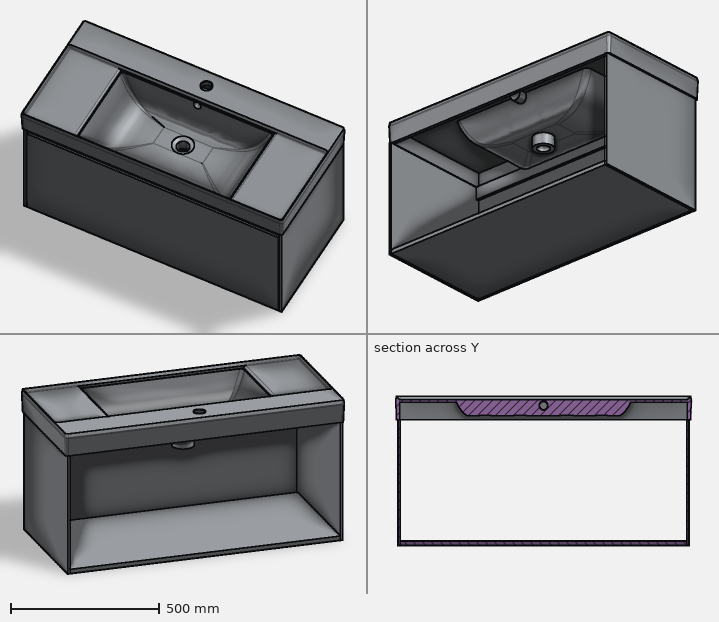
import cadquery as cq
import math

WIDTH = 1000.0
DEPTH = 460.0
HEIGHT = 505.0

BASIN_HEIGHT = 80.0
LIP_HEIGHT = 12.0
LIP_INSET = 3.0
BAND_HEIGHT = 3.0
SKIRT_INSET = 3.0
CORNER_RADIUS = 11.0
SKIRT_WALL = 15.0
DECK_THICKNESS = 10.0
BASIN_BOTTOM = HEIGHT - BASIN_HEIGHT
BAND_TOP = HEIGHT - LIP_HEIGHT
BAND_BOTTOM = BAND_TOP - BAND_HEIGHT
SKIRT_HEIGHT = BAND_BOTTOM - BASIN_BOTTOM

TRAY_DEPTH = 11.0
TRAY_RIM = 11.0
TRAY_BACK = 107.0
TRAY_TAPER_ANGLE = 30.0
TRAY_CORNER_RADIUS = 6.0
TRAY_FILLET = 3.0
TRAY_FLOOR = HEIGHT - TRAY_DEPTH
TRAY_FRONT = TRAY_RIM - DEPTH / 2
TRAY_WIDTH = WIDTH - 2 * TRAY_RIM

BOWL_DEPTH = 122.0
BOWL_WALL = 8.0
BOWL_FLOOR_HALF_WIDTH = 94.0
BOWL_FLOOR_HALF_DEPTH = 39.0
BOWL_RIM_HALF_WIDTH = 292.0
BOWL_RIM_BACK = 106.0
BOWL_RIM_FRONT = -218.0
BOWL_FLOOR_RADIUS = 2.0
BOWL_RIM_RADIUS = 13.0
BOWL_CURVE_POWER = 4
BOWL_SECTIONS = 8
BOWL_EDGE_ROUND = 9.0
BOWL_FLOOR = TRAY_FLOOR - BOWL_DEPTH

TAP_DIAMETER = 38.0
TAP_CHAMFER = 2.0
TAP_RIM_DIAMETER = TAP_DIAMETER + 2 * TAP_CHAMFER
TAP_Y = 170.0
DRAIN_DIAMETER = 46.0
DRAIN_RIM_DIAMETER = 77.0
DRAIN_SINK = 8.0
DRAIN_WALL = 15.0
DRAIN_LENGTH = 50.0
OVERFLOW_DIAMETER = 28.0
OVERFLOW_Z = 473.0
OVERFLOW_WALL = 8.0
OVERFLOW_START = 10.0
OVERFLOW_LENGTH = 40.0

CABINET_WIDTH = 984.0
CABINET_DEPTH = 450.0
SIDE_THICKNESS = 9.0
FRONT_THICKNESS = 9.0
FRONT_TOP = 397.0
FRONT_GAP = 3.0
RAIL_THICKNESS = 10.0
RAIL_OVERLAP = 20.0
BOTTOM_THICKNESS = 16.0
CABINET_BACK = DEPTH / 2
CABINET_FRONT = CABINET_BACK - CABINET_DEPTH
INNER_WIDTH = CABINET_WIDTH - 2 * SIDE_THICKNESS
PANEL_BACK = CABINET_FRONT + FRONT_THICKNESS


def box(x_size, y_min, y_max, z_min, z_max, x_center=0):
    """Box centred on x_center between the given Y and Z limits."""
    centered = (True, False, False)
    solid = cq.Workplane("XY").box(x_size, y_max - y_min, z_max - z_min, centered=centered)
    return solid.translate((x_center, y_min, z_min))


def blend(start, end, fraction):
    return start + (end - start) * fraction


def bowl_section(fraction, wall):
    """Rounded rectangle of the bowl; fraction runs from 0 at the floor to 1 at the rim."""
    half_width = blend(BOWL_FLOOR_HALF_WIDTH, BOWL_RIM_HALF_WIDTH, fraction) + wall
    back = blend(BOWL_FLOOR_HALF_DEPTH, BOWL_RIM_BACK, fraction) + wall
    front = blend(-BOWL_FLOOR_HALF_DEPTH, BOWL_RIM_FRONT, fraction) - wall
    radius = blend(BOWL_FLOOR_RADIUS, BOWL_RIM_RADIUS, fraction) + wall
    z = BOWL_FLOOR + BOWL_DEPTH * fraction**BOWL_CURVE_POWER - wall
    corners = [
        (-half_width, front, z),
        (half_width, front, z),
        (half_width, back, z),
        (-half_width, back, z),
    ]
    rectangle = cq.Wire.makePolygon(corners, close=True)
    return rectangle.fillet2D(radius, rectangle.Vertices())


def bowl_volume(wall=0):
    """Bowl cavity, or its outside when a wall is added."""
    sections = [bowl_section(step / BOWL_SECTIONS, wall) for step in range(BOWL_SECTIONS + 1)]
    return cq.Workplane(cq.Solid.makeLoft(sections))


def bowl_edge_rounding():
    """Cutter that eases the left and right bowl edges into the tray floor."""
    length = BOWL_RIM_BACK - BOWL_RIM_FRONT
    cutter = cq.Workplane("XZ", origin=(0, BOWL_RIM_BACK, TRAY_FLOOR))
    outer = BOWL_RIM_HALF_WIDTH + BOWL_EDGE_ROUND
    arc_offset = BOWL_EDGE_ROUND * (1 - math.sqrt(0.5))
    arc_x = BOWL_RIM_HALF_WIDTH + arc_offset
    cutter = cutter.moveTo(-outer, 0)
    cutter = cutter.threePointArc((-arc_x, -arc_offset), (-BOWL_RIM_HALF_WIDTH, -BOWL_EDGE_ROUND))
    cutter = cutter.lineTo(BOWL_RIM_HALF_WIDTH, -BOWL_EDGE_ROUND)
    cutter = cutter.threePointArc((arc_x, -arc_offset), (outer, 0)).close()
    return cutter.extrude(length)


def basin_layer(z_start, height, inset=0):
    """Full-size rounded outline extruded from z_start, drawn in by the inset at its far end."""
    outline = cq.Sketch().rect(WIDTH, DEPTH).vertices().fillet(CORNER_RADIUS)
    taper = math.degrees(math.atan2(inset, abs(height)))
    return cq.Workplane("XY", origin=(0, 0, z_start)).placeSketch(outline).extrude(height, taper=taper)


def basin_outside():
    lip = basin_layer(BAND_TOP, LIP_HEIGHT, LIP_INSET)
    band = basin_layer(BAND_BOTTOM, BAND_HEIGHT)
    skirt = basin_layer(BAND_BOTTOM, -SKIRT_HEIGHT, SKIRT_INSET)
    return band.union(lip).union(skirt)


def tray_cut():
    outline = cq.Sketch().rect(TRAY_WIDTH, TRAY_BACK - TRAY_FRONT).vertices().fillet(TRAY_CORNER_RADIUS)
    floor = cq.Workplane("XY", origin=(0, (TRAY_BACK + TRAY_FRONT) / 2, TRAY_FLOOR))
    tray = floor.placeSketch(outline).extrude(TRAY_DEPTH, taper=-TRAY_TAPER_ANGLE)
    return tray.faces("<Z").edges().fillet(TRAY_FILLET)


def overflow_cylinder(radius, length):
    """Cylinder running backwards from just inside the back wall of the bowl."""
    start = cq.Workplane("XZ", origin=(0, BOWL_RIM_BACK - OVERFLOW_START, OVERFLOW_Z))
    return start.circle(radius).extrude(-length)


def drain_tube():
    top = cq.Workplane("XY", origin=(0, 0, BOWL_FLOOR))
    return top.circle(DRAIN_DIAMETER / 2 + DRAIN_WALL).extrude(-DRAIN_LENGTH)


def flared_hole(diameter, rim_diameter, flare_depth, length, y, z):
    """Cutter for a vertical hole whose conical mouth lies at height z."""
    radius = diameter / 2
    profile = [
        (0, 0),
        (rim_diameter / 2, 0),
        (radius, -flare_depth),
        (radius, -length),
        (0, -length),
    ]
    outline = cq.Workplane("XZ", origin=(0, y, z)).polyline(profile).close()
    return outline.revolve(360, (0, 0, 0), (0, 1, 0))


def make_basin():
    basin = basin_outside()
    inner_back = DEPTH / 2 - SKIRT_WALL
    deck_underside = TRAY_FLOOR - DECK_THICKNESS
    hollow = box(WIDTH - 2 * SKIRT_WALL, -inner_back, inner_back, BASIN_BOTTOM, deck_underside)
    basin = basin.cut(hollow).union(bowl_volume(BOWL_WALL)).union(drain_tube())
    overflow_boss = overflow_cylinder(OVERFLOW_DIAMETER / 2 + OVERFLOW_WALL, OVERFLOW_LENGTH + OVERFLOW_WALL)
    basin = basin.union(overflow_boss)
    basin = basin.cut(tray_cut()).cut(bowl_volume()).cut(bowl_edge_rounding())

    tap = flared_hole(TAP_DIAMETER, TAP_RIM_DIAMETER, TAP_CHAMFER, BASIN_HEIGHT, TAP_Y, HEIGHT)
    drain = flared_hole(DRAIN_DIAMETER, DRAIN_RIM_DIAMETER, DRAIN_SINK, DRAIN_LENGTH, 0, BOWL_FLOOR)
    overflow = overflow_cylinder(OVERFLOW_DIAMETER / 2, OVERFLOW_LENGTH)
    return basin.cut(tap).cut(drain).cut(overflow)


def make_side_panel(direction):
    x_center = direction * (CABINET_WIDTH - SIDE_THICKNESS) / 2
    return box(SIDE_THICKNESS, CABINET_FRONT, CABINET_BACK, 0, BASIN_BOTTOM, x_center)


def make_front_panel():
    return box(INNER_WIDTH - 2 * FRONT_GAP, CABINET_FRONT, PANEL_BACK, 0, FRONT_TOP)


def make_rail():
    return box(INNER_WIDTH, PANEL_BACK, PANEL_BACK + RAIL_THICKNESS, FRONT_TOP - RAIL_OVERLAP, BASIN_BOTTOM)


def make_bottom_panel():
    return box(INNER_WIDTH, PANEL_BACK, CABINET_BACK, 0, BOTTOM_THICKNESS)


basin = make_basin()
side_panels = [make_side_panel(direction) for direction in (-1, 1)]
front_panel = make_front_panel()
rail = make_rail()
bottom_panel = make_bottom_panel()

result = cq.Compound.makeCompound(
    [
        basin.solids().val(),
        *[panel.val() for panel in side_panels],
        front_panel.val(),
        rail.val(),
        bottom_panel.val(),
    ]
)